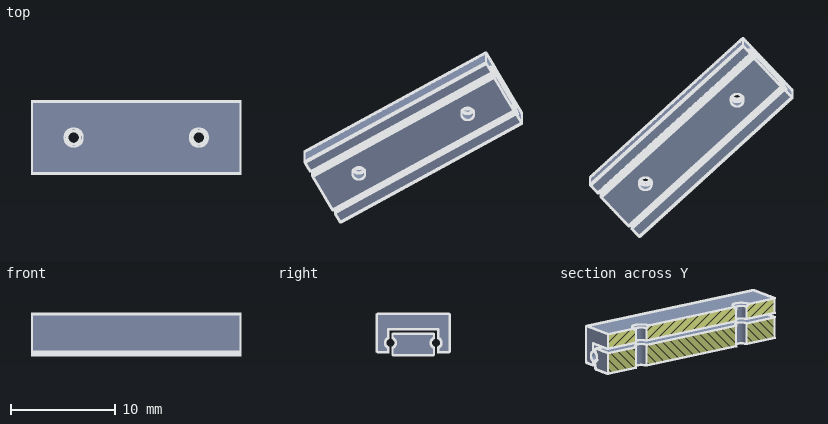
import cadquery as cq

length = 20.0
overall_height = 4.0
ball_groove_diameter = 1.0
ball_groove_height = 1.2
edge_chamfer = 0.1

carriage_width = 7.0
carriage_height = 3.7
channel_width = 4.75
channel_depth = 1.5
carriage_bottom = overall_height - carriage_height
channel_top = overall_height - channel_depth

rail_width = 4.0
rail_height = 2.1

ball_groove_spacing = (rail_width + channel_width) / 2

hole_spacing = 12.0
hole_diameter = 1.22
countersink_diameter = 1.72
countersink_angle = 90.0


def bar(width, bottom, top):
    """Full-length bar centred on X and Y, between two heights."""
    base = cq.Workplane("XY", origin=(0, 0, bottom))
    return base.rect(length, width).extrude(top - bottom)


def ball_grooves():
    """Two full-length cylinders that cut the ball grooves."""
    return (
        cq.Workplane("YZ", origin=(-length / 2, 0, ball_groove_height))
        .pushPoints([(-ball_groove_spacing / 2, 0), (ball_groove_spacing / 2, 0)])
        .circle(ball_groove_diameter / 2)
        .extrude(length)
    )


def hole_positions(body):
    """Mounting hole centres on the top face of a body."""
    return body.faces(">Z").workplane(centerOption="CenterOfBoundBox").rarray(hole_spacing, 1, 2, 1)


def make_carriage():
    block = bar(carriage_width, carriage_bottom, overall_height)
    carriage = block.edges("|X").chamfer(edge_chamfer)
    carriage = carriage.cut(bar(channel_width, carriage_bottom, channel_top))
    carriage = carriage.cut(ball_grooves())
    return hole_positions(carriage).cskHole(hole_diameter, countersink_diameter, countersink_angle)


def make_rail():
    rail = bar(rail_width, 0, rail_height).edges("|X").chamfer(edge_chamfer)
    rail = rail.cut(ball_grooves())
    return hole_positions(rail).hole(hole_diameter)


carriage = make_carriage()
rail = make_rail()

result = cq.Compound.makeCompound([carriage.val(), rail.val()])